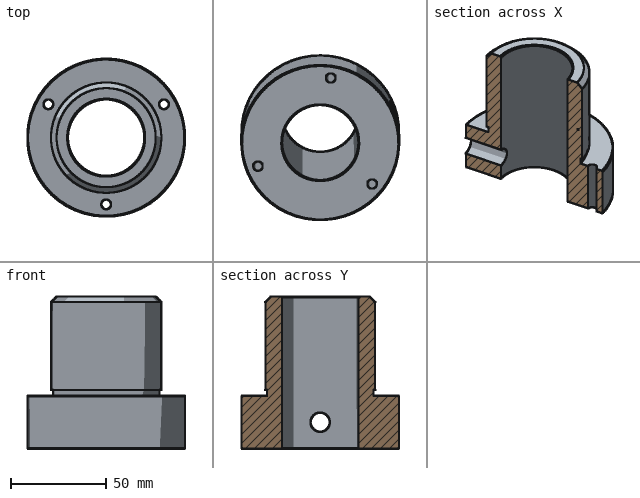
import cadquery as cq

flange_diameter = 83.0
total_height = 80.0
flange_height = 28.0

sleeve_diameter = 58.0
sleeve_chamfer = 3.0
groove_diameter = 56.0
groove_width = 3.0

bore_diameter = 40.0
edge_chamfer = 0.5

hole_count = 3
hole_diameter = 5.0
hole_circle_radius = 35.0
first_hole_angle = -90.0

radial_hole_diameter = 10.0


def make_body():
    """Flange, grooved neck and sleeve stacked along Z."""
    flange = cq.Workplane("XY").circle(flange_diameter / 2).extrude(flange_height)
    flange = flange.edges().chamfer(edge_chamfer)
    neck = (
        cq.Workplane("XY")
        .workplane(offset=flange_height)
        .circle(groove_diameter / 2)
        .extrude(groove_width)
    )
    sleeve_base = flange_height + groove_width
    sleeve = (
        cq.Workplane("XY")
        .workplane(offset=sleeve_base)
        .circle(sleeve_diameter / 2)
        .extrude(total_height - sleeve_base)
        .faces(">Z")
        .edges()
        .chamfer(sleeve_chamfer)
    )
    return flange.union(neck).union(sleeve)


def cut_bore(body):
    """Through bore with a small chamfer at both mouths."""
    bore_radius = bore_diameter / 2
    mouth_radius = bore_radius + edge_chamfer
    profile = [
        (0, 0),
        (mouth_radius, 0),
        (bore_radius, edge_chamfer),
        (bore_radius, total_height - edge_chamfer),
        (mouth_radius, total_height),
        (0, total_height),
    ]
    bore = cq.Workplane("XZ").polyline(profile).close().revolve(360, (0, 0), (0, 1))
    return body.cut(bore)


def cut_flange_holes(body):
    """Ring of plain holes through the full flange height."""
    holes = (
        cq.Workplane("XY")
        .polarArray(hole_circle_radius, first_hole_angle, 360, hole_count)
        .circle(hole_diameter / 2)
        .extrude(flange_height)
    )
    return body.cut(holes)


def cut_radial_hole(body):
    """Plain hole along +Y from the bore out through the flange wall."""
    hole = (
        cq.Workplane("XZ")
        .center(0, flange_height / 2)
        .circle(radial_hole_diameter / 2)
        .extrude(-flange_diameter / 2)
    )
    return body.cut(hole)


body = cut_bore(make_body())
body = cut_flange_holes(body)
result = cut_radial_hole(body)